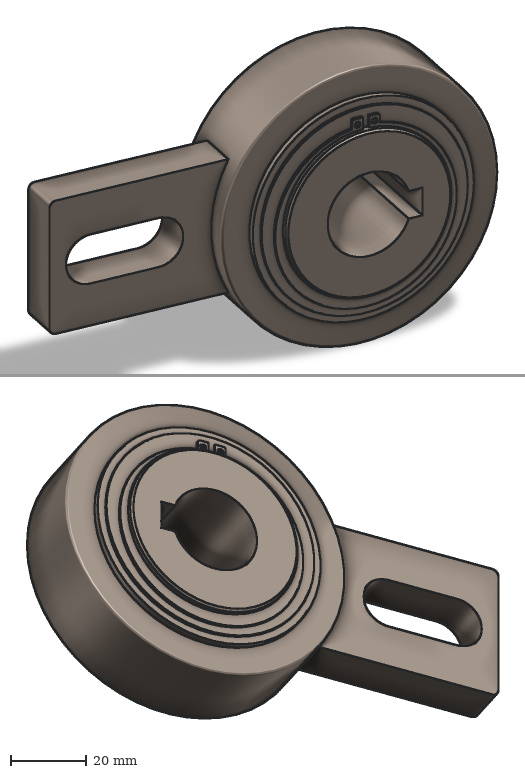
import cadquery as cq

body_radius = 41.49
body_width = 24.0
body_edge = 0.8

cover_radius = 33.1
cover_width = 28.0
washer_radius = 30.9
washer_width = 29.6

hub_radius = 24.92
hub_width = 35.0
hub_edge = 0.7
bore_radius = 12.5
keyway_width = 8.3
keyway_reach = 15.9

overall_length = 131.5
arm_reach = overall_length - body_radius
arm_width = 12.2
arm_height = 40.0
arm_corner = 2.0
slot_length = 35.1
slot_height = 14.7
slot_offset = 67.5

clip_width = 31.2
clip_thickness = (clip_width - washer_width) / 2
clip_radius = 27.2
clip_drop = 1.3
clip_gap = 2.0
lug_width = 3.2
lug_top = 28.4
lug_corner = 0.8
lug_hole_height = 26.5
lug_hole_offset = (clip_gap + lug_width) / 2
lug_hole_radius = 0.85


def disc(radius, width):
    """A disc on the shaft axis, centred on the part."""
    return cq.Workplane("YZ").workplane(offset=-width / 2).circle(radius).extrude(width)


def make_arm():
    arm = (
        cq.Workplane("XY")
        .box(arm_width, arm_reach, arm_height)
        .translate((0, -arm_reach / 2, 0))
        .edges("|X and <Y")
        .fillet(arm_corner)
    )
    slot = (
        cq.Workplane("YZ")
        .center(-slot_offset, 0)
        .slot2D(slot_length, slot_height)
        .extrude(arm_width, both=True)
    )
    return arm.cut(slot)


def make_clip():
    """A clip seated on the +X washer face, with a lug at each open end."""
    seat = cq.Workplane("YZ").workplane(offset=washer_width / 2)
    clip = seat.center(0, -clip_drop).circle(clip_radius).extrude(clip_thickness)
    lug_height = lug_top - bore_radius
    for side in (-1, 1):
        lug = (
            seat.center(side * lug_hole_offset, lug_top - lug_height / 2)
            .rect(lug_width, lug_height)
            .extrude(clip_thickness)
            .edges("|X and >Z")
            .edges(">Y" if side > 0 else "<Y")
            .fillet(lug_corner)
        )
        clip = clip.union(lug)
    gap = seat.center(0, lug_top / 2).rect(clip_gap, lug_top).extrude(clip_thickness)
    holes = (
        seat.pushPoints([(-lug_hole_offset, lug_hole_height), (lug_hole_offset, lug_hole_height)])
        .circle(lug_hole_radius)
        .extrude(clip_thickness)
    )
    return clip.cut(gap).cut(holes)


def make_bore():
    bore = disc(bore_radius, hub_width)
    keyway = (
        cq.Workplane("XY")
        .box(hub_width, keyway_reach, keyway_width)
        .translate((0, keyway_reach / 2, 0))
    )
    return bore.union(keyway)


body = disc(body_radius, body_width).edges("%CIRCLE").fillet(body_edge)
hub = disc(hub_radius, hub_width).edges("%CIRCLE").chamfer(hub_edge)
clip = make_clip()

result = (
    body.union(make_arm())
    .union(disc(cover_radius, cover_width))
    .union(disc(washer_radius, washer_width))
    .union(clip)
    .union(clip.mirror("YZ"))
    .union(hub)
    .cut(make_bore())
)